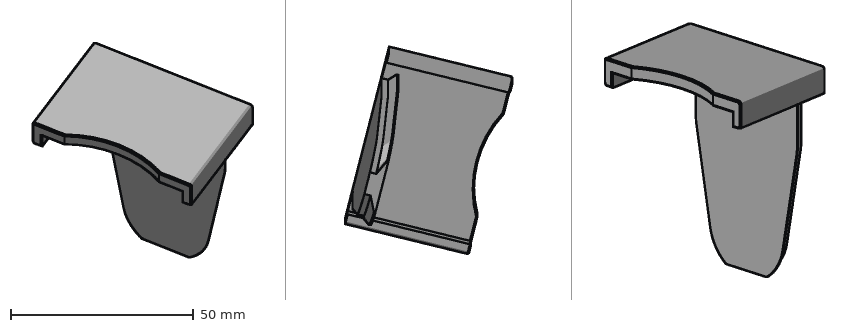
import cadquery as cq
import math

plate_width = 50.0
plate_depth = 35.0
plate_thickness = 3.9
leg_height = 8.25
leg_thickness = 3.0
edge_radius = 1.0
front_chamfer = 0.4
cutout_width = 29.75
cutout_depth = 3.75

total_height = 65.5
tongue_half_width = 18.55
tongue_thickness = 4.2
lip_thickness = 0.4
flare_depth = 2.0
back_inset = flare_depth
straight_length = 24.2
taper_angle = math.radians(9.8)
bend_radius = 16.0
tip_radius = 14.7
tip_start_depth = 56.15


def make_plate():
    """Channel-shaped plate with rounded outer edges and a chamfered, scooped front."""
    block = (
        cq.Workplane("XY")
        .box(plate_width, plate_depth, leg_height, centered=(True, False, False))
        .translate((0, -plate_depth, -leg_height))
        .edges("|Y")
        .fillet(edge_radius)
    )
    channel = (
        cq.Workplane("XY")
        .box(plate_width - 2 * leg_thickness, plate_depth, leg_height, centered=(True, False, False))
        .translate((0, -plate_depth, -leg_height - plate_thickness))
    )
    scoop = (
        cq.Workplane("XY")
        .moveTo(-cutout_width / 2, -plate_depth)
        .threePointArc((0, cutout_depth - plate_depth), (cutout_width / 2, -plate_depth))
        .close()
        .extrude(-leg_height)
    )
    plate = block.cut(channel).cut(scoop)
    front_zone = cq.selectors.BoxSelector(
        (-plate_width, -plate_depth - cutout_depth, -total_height),
        (plate_width, -plate_depth + cutout_depth, total_height),
    )
    scoop_corners = cq.selectors.BoxSelector(
        (-cutout_width / 2 - edge_radius, -2 * plate_depth, -0.75 * plate_thickness),
        (cutout_width / 2 + edge_radius, 0, -0.25 * plate_thickness),
    )
    return plate.edges(front_zone - scoop_corners).chamfer(front_chamfer)


def tongue_outline(inset):
    """Closed XZ outline of the tongue with both sides moved inward by inset."""
    cos_a = math.cos(taper_angle)
    sin_a = math.sin(taper_angle)

    bend_x = tongue_half_width - bend_radius
    bend_r = bend_radius - inset

    def on_bend(angle):
        return bend_x + bend_r * math.cos(angle), -straight_length - bend_r * math.sin(angle)

    bend_end_x = bend_x + bend_radius * cos_a
    bend_end_depth = straight_length + bend_radius * sin_a
    tip_start_x = bend_end_x - (tip_start_depth - bend_end_depth) * math.tan(taper_angle)
    tip_x = tip_start_x - tip_radius * cos_a
    tip_z = -tip_start_depth + tip_radius * sin_a
    tip_r = tip_radius - inset
    end_angle = math.asin((total_height + tip_z) / tip_r)

    def on_tip(angle):
        return tip_x + tip_r * math.cos(angle), tip_z - tip_r * math.sin(angle)

    def mirrored(point):
        return -point[0], point[1]

    top = (tongue_half_width - inset, -plate_thickness / 2)
    bend = [on_bend(angle) for angle in (0, taper_angle / 2, taper_angle)]
    tip = [on_tip(angle) for angle in (taper_angle, (taper_angle + end_angle) / 2, end_angle)]
    return (
        cq.Workplane("XZ")
        .moveTo(*top)
        .lineTo(*bend[0])
        .threePointArc(bend[1], bend[2])
        .lineTo(*tip[0])
        .threePointArc(tip[1], tip[2])
        .lineTo(*mirrored(tip[2]))
        .threePointArc(mirrored(tip[1]), mirrored(tip[0]))
        .lineTo(*mirrored(bend[2]))
        .threePointArc(mirrored(bend[1]), mirrored(bend[0]))
        .lineTo(*mirrored(top))
        .close()
    )


def make_tongue():
    """Narrow back band, sloped flare and full-width front lip."""
    back_depth = tongue_thickness - flare_depth - lip_thickness
    flare_front = back_depth + flare_depth
    back = tongue_outline(back_inset).extrude(back_depth)
    lip = tongue_outline(0).extrude(lip_thickness).translate((0, -flare_front, 0))
    narrow_wire = tongue_outline(back_inset).val().translate(cq.Vector(0, -back_depth, 0))
    wide_wire = tongue_outline(0).val().translate(cq.Vector(0, -flare_front, 0))
    flare = cq.Workplane(cq.Solid.makeLoft([narrow_wire, wide_wire], True))
    return back.union(flare).union(lip)


result = make_plate().union(make_tongue())